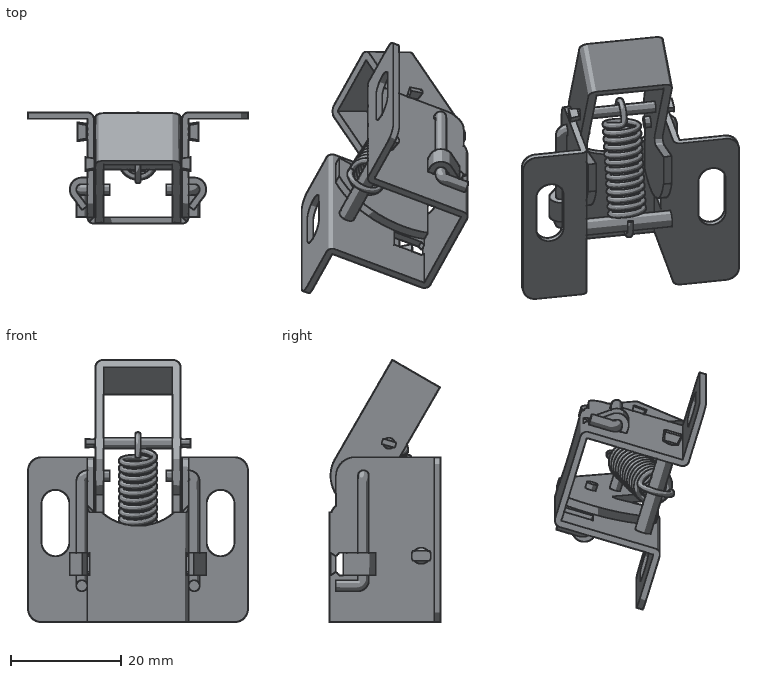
import cadquery as cq
import math

OVERALL_HEIGHT = 47.65
SIDES = (-1, 1)

SHEET = 1.2
FLANGE_SPAN = 40.0
BRACKET_HEIGHT = 30.0
BRACKET_DEPTH = 20.2
CHANNEL_WIDTH = 18.4
WALL_OUT = CHANNEL_WIDTH / 2
WALL_IN = WALL_OUT - SHEET
FLANGE_CORNER_RADIUS = 2.5
SLOT_WIDTH = 5.0
SLOT_LENGTH = 12.0
SLOT_SPACING = 30.0
SLOT_Z = 18.0
FRONT_WALL_HEIGHT = 20.0
FRONT_WALL_BACK_Y = SHEET - BRACKET_DEPTH
SIDE_CORNER_RADIUS = 3.5
SCALLOP_RADIUS = 10.0
SCALLOP_BOTTOM_Z = 17.5

LEVER_WIDTH = 15.5
LEVER_SHEET = 1.53
LEVER_LEAN = 30.0
LEVER_FRONT = 6.0
LEVER_BACK = 4.0
PIVOT_Y = -14.0
PIVOT_Z = 26.6
LEVER_TOP = (OVERALL_HEIGHT - PIVOT_Z - LEVER_FRONT * math.sin(math.radians(LEVER_LEAN))) / math.cos(
    math.radians(LEVER_LEAN)
)
FOOT_RADIUS = 14.0
FOOT_GAP = 0.1
FOOT_EDGE_OFFSET = 3.2
FOOT_EDGE_ANGLE = 45.0
FOOT_CORNER_RADIUS = 0.95
CROOK_Z = LEVER_BACK - FOOT_EDGE_OFFSET / math.sin(math.radians(FOOT_EDGE_ANGLE))

WIRE_RADIUS = 1.0
WIRE_X = WALL_OUT + WIRE_RADIUS
WIRE_INNER_X = 5.1
WIRE_BOTTOM_Z = 6.63
WIRE_BEND_RADIUS = 1.05

TAB_BOTTOM_Z = 8.55
TAB_TOP_Z = 12.6
TAB_STRAIGHT = 3.0
TAB_TURN = 126.9
NOTCH_FLOOR_X = 8.75
WINDOW_CORNER = 0.6
NOTCH_CORNER = 0.9

PIN_END_LENGTH = 1.8
PIN_FLAT_LENGTH = 1.55
PIN_RAMP_LENGTH = 0.4
UPPER_PIN_Y = -9.4
UPPER_PIN_Z = 32.5
UPPER_PIN_RADIUS = 1.0
UPPER_PIN_END_RADIUS = 1.3
UPPER_PIN_FLAT_THICKNESS = 1.0
UPPER_PIN_TURN = -16.0
LOWER_PIN_Y = -3.55
LOWER_PIN_Z = 12.05
LOWER_PIN_RADIUS = 1.5
LOWER_PIN_END_RADIUS = 1.75
LOWER_PIN_FLAT_THICKNESS = 1.8

COIL_RADIUS = 3.0
SPRING_WIRE_RADIUS = 0.52
COIL_LENGTH = 17.15
HOOK_LEAD = 0.9
COIL_END_ANGLE = 60.0
COIL_TURNS = 12 + 2 * COIL_END_ANGLE / 360
HOOK_END_ANGLE = 181.0


def polar(radius, degrees):
    return (radius * math.cos(math.radians(degrees)), radius * math.sin(math.radians(degrees)))


def box(x_range, y_range, z_range):
    size = [high - low for low, high in (x_range, y_range, z_range)]
    return cq.Workplane("XY").box(*size, centered=False).translate((x_range[0], y_range[0], z_range[0]))


def extrude_across(outline, x_start, x_end):
    """Extrude a closed YZ outline along X."""
    return outline.extrude(x_end - x_start).translate((x_start, 0, 0))


def rod(radius, x_start, x_end, y, z):
    """A round bar along X."""
    return cq.Workplane("YZ", origin=(x_start, 0, 0)).center(y, z).circle(radius).extrude(x_end - x_start)


def mirrored_pair(half):
    return half.union(half.mirror("YZ"))


def flange_half():
    flange = box((WALL_IN, FLANGE_SPAN / 2), (-SHEET, 0), (0, BRACKET_HEIGHT))
    flange = flange.edges("|Y and >X").fillet(FLANGE_CORNER_RADIUS)
    slot = (
        cq.Workplane("XZ")
        .center(SLOT_SPACING / 2, SLOT_Z)
        .slot2D(SLOT_LENGTH, SLOT_WIDTH, 90)
        .extrude(SHEET)
    )
    return flange.cut(slot)


def side_wall():
    wall = box((WALL_IN, WALL_OUT), (FRONT_WALL_BACK_Y, 0), (0, BRACKET_HEIGHT))
    return wall.edges("|X and <Y and >Z").fillet(SIDE_CORNER_RADIUS)


def bend_mitre():
    """Bend corner above the front wall, sloping down from the side wall's edge to a diagonal crease."""
    corner = box(
        (WALL_IN, WALL_OUT), (-BRACKET_DEPTH, FRONT_WALL_BACK_Y), (FRONT_WALL_HEIGHT, FRONT_WALL_HEIGHT + SHEET)
    )
    crease = cq.Plane((WALL_IN, FRONT_WALL_BACK_Y, FRONT_WALL_HEIGHT), xDir=(1, -1, 0), normal=(-1, -1, 1))
    above_slope = cq.Workplane(crease).rect(BRACKET_DEPTH, BRACKET_DEPTH).extrude(BRACKET_DEPTH)
    return corner.cut(above_slope)


def tab():
    """Strip leaving the side wall, curling round the wire and ending against the wall's plane."""
    outer = WIRE_RADIUS + SHEET
    straight = polar(TAB_STRAIGHT, -TAB_TURN)
    inner_end = polar(WIRE_RADIUS, 90 - TAB_TURN)
    outer_end = polar(outer, 90 - TAB_TURN)
    outer_mid = polar(outer, 90 - TAB_TURN / 2)
    inner_mid = polar(WIRE_RADIUS, 90 - TAB_TURN / 2)
    root = WALL_OUT - WIRE_X
    return (
        cq.Workplane("XY", origin=(WIRE_X, PIVOT_Y, TAB_BOTTOM_Z))
        .moveTo(root, outer)
        .lineTo(0, outer)
        .threePointArc(outer_mid, outer_end)
        .line(*straight)
        .lineTo(inner_end[0] + straight[0], inner_end[1] + straight[1])
        .lineTo(*inner_end)
        .threePointArc(inner_mid, (0, WIRE_RADIUS))
        .lineTo(root, WIRE_RADIUS)
        .close()
        .extrude(TAB_TOP_Z - TAB_BOTTOM_Z)
    )


def tab_window():
    """Opening left behind the tab, with cut corners and a shallower notch running into the bend."""
    back = PIVOT_Y + WIRE_RADIUS
    front = FRONT_WALL_BACK_Y
    low, high = TAB_BOTTOM_Z, TAB_TOP_Z
    window = cq.Workplane("YZ").polyline(
        [
            (back, low),
            (front + WINDOW_CORNER, low),
            (front, low + WINDOW_CORNER),
            (front, high - WINDOW_CORNER),
            (front + WINDOW_CORNER, high),
            (back, high),
        ]
    ).close()
    notch = cq.Workplane("YZ").polyline(
        [
            (front, low + WINDOW_CORNER),
            (front - NOTCH_CORNER, low),
            (-BRACKET_DEPTH, low),
            (-BRACKET_DEPTH, high),
            (front - NOTCH_CORNER, high),
            (front, high - WINDOW_CORNER),
        ]
    ).close()
    return extrude_across(window, WALL_IN, WALL_OUT).union(extrude_across(notch, NOTCH_FLOOR_X, WALL_OUT))


def front_wall():
    wall = box((-WALL_OUT, WALL_OUT), (-BRACKET_DEPTH, FRONT_WALL_BACK_Y), (0, FRONT_WALL_HEIGHT))
    scallop = (
        cq.Workplane("XZ")
        .center(0, SCALLOP_BOTTOM_Z + SCALLOP_RADIUS)
        .circle(SCALLOP_RADIUS)
        .extrude(BRACKET_DEPTH)
    )
    return wall.cut(scallop)


def bend_blank(x, y, x_step, y_step):
    """Material outside a quarter-round bend of one sheet thickness, around a vertical corner."""
    square = box(
        sorted((x, x + x_step)), sorted((y, y + y_step)), (0, BRACKET_HEIGHT)
    )
    return square.cut(cq.Workplane("XY").center(x, y).circle(SHEET).extrude(BRACKET_HEIGHT))


def make_bracket():
    half = flange_half().union(side_wall()).union(bend_mitre())
    bracket = mirrored_pair(half).union(front_wall())
    back_bend = bend_blank(WALL_OUT, -SHEET, -SHEET, SHEET)
    front_bend = bend_blank(WALL_IN, FRONT_WALL_BACK_Y, SHEET, -SHEET)
    bracket = bracket.cut(mirrored_pair(back_bend.union(front_bend)))
    bracket = bracket.cut(mirrored_pair(tab_window())).union(mirrored_pair(tab()))
    wire_hole = rod(WIRE_RADIUS, -WALL_OUT, WALL_OUT, PIVOT_Y, PIVOT_Z)
    pin_hole = rod(LOWER_PIN_RADIUS, -WALL_OUT, WALL_OUT, LOWER_PIN_Y, LOWER_PIN_Z)
    return bracket.cut(wire_hole).cut(pin_hole)


def set_upright(point):
    """Turn a YZ point about the pivot from the leaning lever to the upright lever."""
    y, z = point
    return polar(math.hypot(y, z), math.degrees(math.atan2(z, y)) + LEVER_LEAN)


def lever_outline():
    """Side outline of the upright lever about its pivot: handle above, sector-shaped foot below."""
    stop_y = FRONT_WALL_BACK_Y + FOOT_GAP - PIVOT_Y
    heel_y = -SHEET - PIVOT_Y
    knee_angle = 360 - math.degrees(math.acos(stop_y / LEVER_FRONT)) + LEVER_LEAN
    toe_angle = 360 - math.degrees(math.acos(stop_y / FOOT_RADIUS)) + LEVER_LEAN
    heel_angle = 360 - math.degrees(math.acos(heel_y / FOOT_RADIUS)) + LEVER_LEAN
    edge_slope = math.radians(FOOT_EDGE_ANGLE - LEVER_LEAN)
    heel_top_z = heel_y * math.tan(edge_slope) - FOOT_EDGE_OFFSET / math.cos(edge_slope)
    return (
        cq.Workplane("YZ")
        .moveTo(-LEVER_FRONT, LEVER_TOP)
        .lineTo(-LEVER_FRONT, 0)
        .threePointArc(polar(LEVER_FRONT, (180 + knee_angle) / 2), polar(LEVER_FRONT, knee_angle))
        .lineTo(*polar(FOOT_RADIUS, toe_angle))
        .threePointArc(polar(FOOT_RADIUS, (toe_angle + heel_angle) / 2), polar(FOOT_RADIUS, heel_angle))
        .lineTo(*set_upright((heel_y, heel_top_z)))
        .lineTo(LEVER_BACK, CROOK_Z)
        .lineTo(LEVER_BACK, LEVER_TOP)
        .close()
    )


def make_lever():
    lever = extrude_across(lever_outline(), -LEVER_WIDTH / 2, LEVER_WIDTH / 2)
    crook = cq.selectors.NearestToPointSelector((0, LEVER_BACK, CROOK_Z))
    lever = lever.edges(crook).fillet(FOOT_CORNER_RADIUS)
    lever = lever.edges("|Y and >Z").fillet(LEVER_SHEET)
    inside = LEVER_WIDTH / 2 - LEVER_SHEET
    lever = lever.cut(
        box((-inside, inside), (-FOOT_RADIUS, FOOT_RADIUS), (-FOOT_RADIUS, LEVER_TOP - LEVER_SHEET))
    )
    lever = lever.rotate((0, 0, 0), (1, 0, 0), -LEVER_LEAN).translate((0, PIVOT_Y, PIVOT_Z))
    wire_hole = rod(WIRE_RADIUS, -LEVER_WIDTH, LEVER_WIDTH, PIVOT_Y, PIVOT_Z)
    pin_hole = rod(UPPER_PIN_RADIUS, -LEVER_WIDTH, LEVER_WIDTH, UPPER_PIN_Y, UPPER_PIN_Z)
    return lever.cut(wire_hole).cut(pin_hole)


def wire_bend(start, middle, end):
    return cq.Edge.makeThreePointArc(cq.Vector(start), cq.Vector(middle), cq.Vector(end))


def wire_straight(start, end):
    return cq.Edge.makeLine(cq.Vector(start), cq.Vector(end))


def make_wire(side):
    """Round wire: through the wall and lever, down the wall outside, then forward to the front wall."""
    knee = WIRE_BEND_RADIUS * (1 - math.sqrt(0.5))
    start = (WIRE_INNER_X, PIVOT_Y, PIVOT_Z)
    upper_bend = [
        (WIRE_X - WIRE_BEND_RADIUS, PIVOT_Y, PIVOT_Z),
        (WIRE_X - knee, PIVOT_Y, PIVOT_Z - knee),
        (WIRE_X, PIVOT_Y, PIVOT_Z - WIRE_BEND_RADIUS),
    ]
    lower_bend = [
        (WIRE_X, PIVOT_Y, WIRE_BOTTOM_Z + WIRE_BEND_RADIUS),
        (WIRE_X, PIVOT_Y - knee, WIRE_BOTTOM_Z + knee),
        (WIRE_X, PIVOT_Y - WIRE_BEND_RADIUS, WIRE_BOTTOM_Z),
    ]
    end = (WIRE_X, FRONT_WALL_BACK_Y, WIRE_BOTTOM_Z)
    path = cq.Wire.assembleEdges(
        [
            wire_straight(start, upper_bend[0]),
            wire_bend(*upper_bend),
            wire_straight(upper_bend[-1], lower_bend[0]),
            wire_bend(*lower_bend),
            wire_straight(lower_bend[-1], end),
        ]
    )
    wire = cq.Workplane("YZ", origin=start).circle(WIRE_RADIUS).sweep(cq.Workplane(path))
    return wire if side > 0 else wire.mirror("YZ")


def make_pin(shoulder_x, radius, end_radius, flat_thickness):
    """Pin along X about the origin; each end flares beyond the shoulder and carries two flats that ramp out."""
    tip_x = shoulder_x + PIN_END_LENGTH
    pin = (
        cq.Workplane("XY")
        .polyline(
            [(-tip_x, 0), (-tip_x, end_radius), (-shoulder_x, radius)]
            + [(shoulder_x, radius), (tip_x, end_radius), (tip_x, 0)]
        )
        .close()
        .revolve(360, (0, 0, 0), (1, 0, 0))
    )
    flat_x = tip_x - PIN_FLAT_LENGTH
    flat_z = flat_thickness / 2
    cutter = (
        cq.Workplane("XZ", origin=(0, end_radius, 0))
        .polyline(
            [(tip_x, flat_z), (flat_x, flat_z), (flat_x - PIN_RAMP_LENGTH, radius)]
            + [(flat_x - PIN_RAMP_LENGTH, end_radius), (tip_x, end_radius)]
        )
        .close()
        .extrude(2 * end_radius)
    )
    end_cutters = mirrored_pair(cutter.union(cutter.mirror("XY")))
    return pin.cut(end_cutters)


def make_upper_pin():
    pin = make_pin(LEVER_WIDTH / 2, UPPER_PIN_RADIUS, UPPER_PIN_END_RADIUS, UPPER_PIN_FLAT_THICKNESS)
    return pin.rotate((0, 0, 0), (1, 0, 0), UPPER_PIN_TURN).translate((0, UPPER_PIN_Y, UPPER_PIN_Z))


def make_lower_pin():
    pin = make_pin(WALL_OUT, LOWER_PIN_RADIUS, LOWER_PIN_END_RADIUS, LOWER_PIN_FLAT_THICKNESS)
    return pin.translate((0, LOWER_PIN_Y, LOWER_PIN_Z))


def hook_edges(ring_height):
    """Lead-out from the coil's upper end and the hook ring, whose centre is on the coil axis."""
    end_x, end_y = polar(COIL_RADIUS, COIL_END_ANGLE)
    rise = COIL_LENGTH / COIL_TURNS / (2 * math.pi)
    coil_end = cq.Vector(end_x, end_y, COIL_LENGTH / 2)
    coil_direction = cq.Vector(-end_y, end_x, rise)
    ring_points = []
    for angle in (0, HOOK_END_ANGLE / 2, HOOK_END_ANGLE):
        y, z = polar(COIL_RADIUS, angle)
        ring_points.append(cq.Vector(0, y, ring_height + z))
    lead = cq.Edge.makeSpline([coil_end, ring_points[0]], tangents=[coil_direction, cq.Vector(0, 0, 1)])
    return [lead, cq.Edge.makeThreePointArc(*ring_points)]


def make_spring():
    ring_bore = COIL_RADIUS - SPRING_WIRE_RADIUS
    upper_ring_z = UPPER_PIN_Z - (ring_bore - UPPER_PIN_RADIUS)
    lower_ring_z = LOWER_PIN_Z + (ring_bore - LOWER_PIN_RADIUS)
    run_y = LOWER_PIN_Y - UPPER_PIN_Y
    run_z = upper_ring_z - lower_ring_z
    lean = math.degrees(math.atan2(run_y, run_z))
    upper_ring = COIL_LENGTH / 2 + HOOK_LEAD
    lower_ring = math.hypot(run_y, run_z) - upper_ring
    coil = cq.Wire.makeHelix(COIL_LENGTH / COIL_TURNS, COIL_LENGTH, COIL_RADIUS)
    coil = coil.rotate(cq.Vector(), cq.Vector(0, 0, 1), -COIL_END_ANGLE)
    coil = coil.translate(cq.Vector(0, 0, -COIL_LENGTH / 2))
    lower_hook = [edge.rotate(cq.Vector(), cq.Vector(1, 0, 0), 180) for edge in hook_edges(lower_ring)]
    path = cq.Wire.assembleEdges(lower_hook[::-1] + coil.Edges() + hook_edges(upper_ring))
    tip = lower_hook[1].endPoint()
    section = cq.Workplane(cq.Plane(tip, (1, 0, 0), lower_hook[1].tangentAt(1))).circle(SPRING_WIRE_RADIUS)
    spring = section.sweep(cq.Workplane(path))
    spring = spring.translate((0, 0, -upper_ring)).rotate((0, 0, 0), (1, 0, 0), lean)
    return spring.translate((0, UPPER_PIN_Y, upper_ring_z))


bracket = make_bracket()
lever = make_lever()
wires = [make_wire(side) for side in SIDES]
upper_pin = make_upper_pin()
lower_pin = make_lower_pin()
spring = make_spring()

result = cq.Compound.makeCompound(
    [
        bracket.val(),
        lever.val(),
        *[wire.val() for wire in wires],
        upper_pin.val(),
        lower_pin.val(),
        spring.val(),
    ]
)